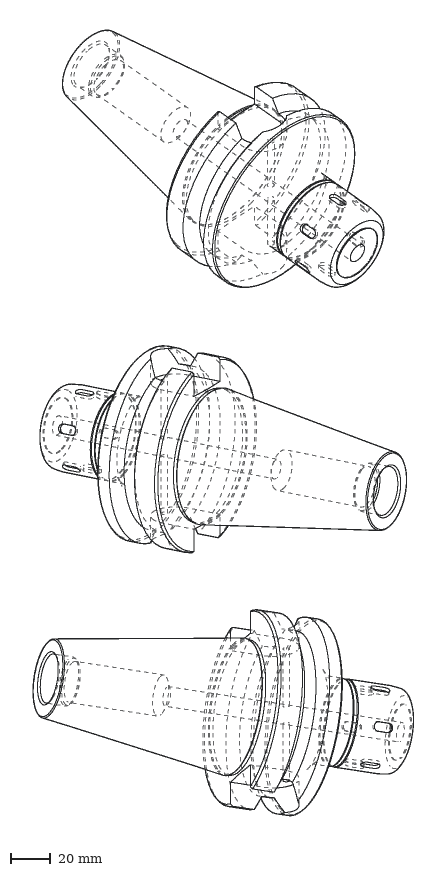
import cadquery as cq
import math

total_length = 191.8
gauge_x = 101.8
flange_start_x = 104.7
flange_end_x = 139.6
v_groove_center_x = 125.0
seam_start_x = 156.7
nose_taper_start_x = 182.8
nose_arc_start_x = 187.2
nose_arc_end_x = 189.7
nose_chamfer_end_x = 190.3
nut_face_x = 191.2

gauge_diameter = 69.8
taper_ratio = 7 / 24
taper_chamfer = 0.5
relief_diameter = 68.9
flare_length = 0.5
flare_diameter = 72.9

flange_diameter = 100.0
flange_chamfer_length = 1.3
flange_chamfer_depth = 1.0
v_groove_depth = 7.5
v_groove_floor_width = 6.1
v_groove_half_angle = 30.0
flange_edge_chamfer = 0.8

shoulder_diameter = 58.5
shoulder_root_radius = 5.0
shoulder_end_radius = 2.3
nut_diameter = 44.9
seam_diameter = 44.5
seam_wall_length = 0.5
seam_width = 2.9
nose_arc_start_diameter = 44.0
nose_arc_end_diameter = 41.6
nose_chamfer_end_diameter = 40.3
nose_arc_radius = 4.0
nut_face_diameter = 37.0
collet_diameter = 28.5

entry_diameter = 27.0
counterbore_diameter = 25.0
counterbore_depth = 11.5
counterbore_cone_length = 1.0
thread_chamfer_diameter = 24.0
thread_diameter = 21.0
thread_chamfer_length = 0.8
thread_end_x = 61.4
drill_half_angle = 59.0
through_diameter = 10.0

keyway_width = 25.7
keyway_floor_z = 35.5
keyway_end_x = 135.6

coolant_diameter = 3.5
coolant_x = 129.7

wrench_slot_count = 6
wrench_slot_first_angle = 10.0
wrench_slot_center_x = 173.8
wrench_slot_length = 10.0
wrench_slot_width = 4.8
wrench_slot_depth = 2.0


def revolved(profile):
    """Turn a closed half profile, drawn as (x, radius), around the X axis."""
    return profile.close().revolve(360, (0, 0, 0), (1, 0, 0))


def make_body():
    """Taper, flange, shoulder and nut as one solid of revolution."""
    taper_radius = gauge_diameter / 2
    small_radius = taper_radius - gauge_x * taper_ratio / 2
    relief_radius = relief_diameter / 2
    relief_chamfer = taper_radius - relief_radius
    flange_radius = flange_diameter / 2
    groove_radius = flange_radius - v_groove_depth
    groove_floor = v_groove_floor_width / 2
    groove_mouth = groove_floor + v_groove_depth * math.tan(math.radians(v_groove_half_angle))
    shoulder_radius = shoulder_diameter / 2
    nut_radius = nut_diameter / 2
    diagonal = math.sqrt(0.5)
    root_setback = shoulder_root_radius * math.tan(math.pi / 8)
    end_setback = shoulder_end_radius * math.tan(math.pi / 8)
    shoulder_end_x = flange_end_x + shoulder_radius - nut_radius
    seam_radius = seam_diameter / 2
    seam_end_x = seam_start_x + seam_width
    nose_radius = nose_arc_start_diameter / 2
    face_radius = nut_face_diameter / 2
    collet_radius = collet_diameter / 2

    profile = (
        cq.Workplane("XY")
        .moveTo(0, 0)
        .lineTo(0, small_radius - taper_chamfer)
        .lineTo(taper_chamfer, small_radius + taper_chamfer * taper_ratio / 2)
        .lineTo(gauge_x, taper_radius)
        .lineTo(gauge_x + relief_chamfer, relief_radius)
        .lineTo(flange_start_x - flare_length, relief_radius)
        .lineTo(flange_start_x, flare_diameter / 2)
        .lineTo(flange_start_x, flange_radius - flange_chamfer_depth)
        .lineTo(flange_start_x + flange_chamfer_length, flange_radius)
        .lineTo(v_groove_center_x - groove_mouth, flange_radius)
        .lineTo(v_groove_center_x - groove_floor, groove_radius)
        .lineTo(v_groove_center_x + groove_floor, groove_radius)
        .lineTo(v_groove_center_x + groove_mouth, flange_radius)
        .lineTo(flange_end_x - flange_edge_chamfer, flange_radius)
        .lineTo(flange_end_x, flange_radius - flange_edge_chamfer)
        .lineTo(flange_end_x, shoulder_radius + root_setback)
        .radiusArc((flange_end_x + root_setback * diagonal, shoulder_radius - root_setback * diagonal),
                   -shoulder_root_radius)
        .lineTo(shoulder_end_x - end_setback * diagonal, nut_radius + end_setback * diagonal)
        .radiusArc((shoulder_end_x + end_setback, nut_radius), -shoulder_end_radius)
        .lineTo(seam_start_x, nut_radius)
        .lineTo(seam_start_x + seam_wall_length, seam_radius)
        .lineTo(seam_end_x - seam_wall_length, seam_radius)
        .lineTo(seam_end_x, nut_radius)
        .lineTo(nose_taper_start_x, nut_radius)
        .lineTo(nose_arc_start_x, nose_radius)
        .radiusArc((nose_arc_end_x, nose_arc_end_diameter / 2), nose_arc_radius)
        .lineTo(nose_chamfer_end_x, nose_chamfer_end_diameter / 2)
        .lineTo(nut_face_x, face_radius)
        .lineTo(nut_face_x, collet_radius)
        .lineTo(total_length, collet_radius)
        .lineTo(total_length, 0)
    )
    return revolved(profile)


def make_bore():
    """Stepped bore from the small end, narrowing to a through hole."""
    entry_radius = entry_diameter / 2
    counterbore_radius = counterbore_diameter / 2
    chamfer_radius = thread_chamfer_diameter / 2
    thread_radius = thread_diameter / 2
    through_radius = through_diameter / 2
    thread_start_x = counterbore_depth + counterbore_cone_length
    drill_tip = (thread_radius - through_radius) / math.tan(math.radians(drill_half_angle))

    profile = (
        cq.Workplane("XY")
        .moveTo(0, 0)
        .lineTo(0, entry_radius)
        .lineTo(entry_radius - counterbore_radius, counterbore_radius)
        .lineTo(counterbore_depth, counterbore_radius)
        .lineTo(thread_start_x, chamfer_radius)
        .lineTo(thread_start_x + thread_chamfer_length, thread_radius)
        .lineTo(thread_end_x, thread_radius)
        .lineTo(thread_end_x + drill_tip, through_radius)
        .lineTo(total_length, through_radius)
        .lineTo(total_length, 0)
    )
    return revolved(profile)


def make_keyways():
    """Two opposite round-ended keyways, open toward the taper."""
    half_width = keyway_width / 2
    arc_center_x = keyway_end_x - half_width
    keyway = (
        cq.Workplane("XY")
        .workplane(offset=keyway_floor_z)
        .moveTo(gauge_x, -half_width)
        .lineTo(arc_center_x, -half_width)
        .threePointArc((keyway_end_x, 0), (arc_center_x, half_width))
        .lineTo(gauge_x, half_width)
        .close()
        .extrude(flange_diameter / 2)
    )
    return keyway.union(keyway.mirror("XY"))


def make_coolant_hole():
    return (
        cq.Workplane("XY")
        .center(coolant_x, 0)
        .circle(coolant_diameter / 2)
        .extrude(flange_diameter / 2, both=True)
    )


def make_wrench_slots():
    slot = (
        cq.Workplane("XY")
        .workplane(offset=nut_diameter / 2 - wrench_slot_depth)
        .center(wrench_slot_center_x, 0)
        .slot2D(wrench_slot_length, wrench_slot_width)
        .extrude(2 * wrench_slot_depth)
    )
    slots = cq.Workplane("XY")
    for index in range(wrench_slot_count):
        angle = -wrench_slot_first_angle + index * 360 / wrench_slot_count
        slots = slots.add(slot.rotate((0, 0, 0), (1, 0, 0), angle))
    return slots.combine()


result = (
    make_body()
    .cut(make_bore())
    .cut(make_keyways())
    .cut(make_coolant_hole())
    .cut(make_wrench_slots())
)